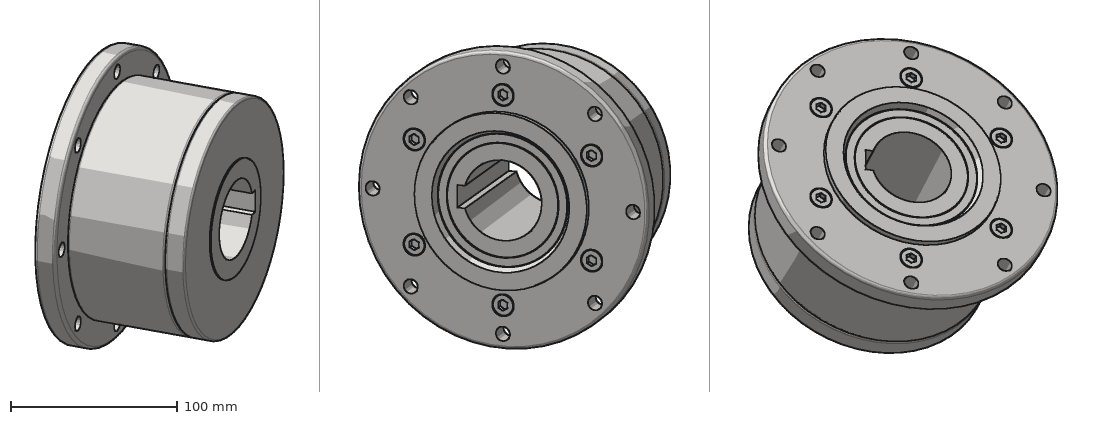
import cadquery as cq
import math

overall_length = 96.0
pilot_length = 4.0
flange_thickness = 14.0
end_boss_length = 1.0
groove_position = 82.0
flange_start = pilot_length
flange_end = flange_start + flange_thickness
body_end = overall_length - end_boss_length

flange_radius = 92.5
body_radius = 75.0
pilot_radius = 55.0
end_boss_radius = 37.4
bore_radius = 25.0

flange_fillet = 2.0
body_fillet = 1.3

recess_mouth_radius = 43.8
recess_floor_radius = 41.5
recess_depth = 3.5

clearance_ring_radii = (35.7, recess_floor_radius)
clearance = 0.28
clearance_depth = 1.0

keyway_width = 14.0
keyway_reach = 28.9

mounting_hole_count = 8
mounting_circle_radius = 83.0
mounting_hole_radius = 4.5

screw_count = 6
screw_circle_radius = 65.3
screw_head_radius = 6.5
head_gap_radius = 6.8
head_gap_depth = 1.0
socket_sides = 6
socket_width = 6.0
socket_depth = 3.7


def disc(radius, start, end):
    """Cylinder around the X axis between two axial stations."""
    return cq.Workplane("YZ").workplane(offset=start).circle(radius).extrude(end - start)


def ring(outer_radius, inner_radius, start, end):
    """Tube around the X axis between two axial stations."""
    return disc(outer_radius, start, end).cut(disc(inner_radius, start, end))


def polar_points(count, radius):
    """Points (Y, Z) evenly spaced around the X axis, the first one on +Z."""
    angles = [2 * math.pi * i / count for i in range(count)]
    return [(radius * math.sin(a), radius * math.cos(a)) for a in angles]


def turned_body():
    """Flange, two body sections that meet in a rounded groove, pilot and end boss."""
    flange = disc(flange_radius, flange_start, flange_end).edges().fillet(flange_fillet)
    housing = disc(body_radius, flange_end, groove_position).edges().fillet(body_fillet)
    cover = disc(body_radius, groove_position, body_end).edges().fillet(body_fillet)
    pilot = disc(pilot_radius, 0, flange_start)
    end_boss = disc(end_boss_radius, body_end, overall_length)
    return flange.union(housing).union(cover).union(pilot).union(end_boss)


def face_recess():
    """Conical recess with the clearance rings in its floor."""
    recess = (
        cq.Workplane("XY")
        .polyline([(0, 0), (0, recess_mouth_radius), (recess_depth, recess_floor_radius), (recess_depth, 0)])
        .close()
        .revolve(360, (0, 0, 0), (1, 0, 0))
    )
    for radius in clearance_ring_radii:
        recess = recess.union(ring(radius, radius - clearance, 0, recess_depth + clearance_depth))
    return recess


def keyed_bore():
    """Through bore with a rectangular keyway."""
    keyway = cq.Workplane("XY").box(
        overall_length, keyway_reach, keyway_width, centered=(False, False, True)
    )
    return disc(bore_radius, 0, overall_length).union(keyway)


def mounting_holes():
    """Evenly spaced through holes near the flange rim."""
    return (
        cq.Workplane("YZ")
        .workplane(offset=flange_start)
        .pushPoints(polar_points(mounting_hole_count, mounting_circle_radius))
        .circle(mounting_hole_radius)
        .extrude(flange_thickness)
    )


def screw_recesses():
    """Ring gap around each flush screw head, and the hexagon socket with corners toward +Z and -Z."""
    points = polar_points(screw_count, screw_circle_radius)
    face = cq.Workplane("YZ").workplane(offset=flange_start)
    recesses = (
        face.pushPoints(points)
        .circle(head_gap_radius)
        .circle(screw_head_radius)
        .extrude(head_gap_depth)
    )
    corner_radius = socket_width / math.sqrt(3)
    socket_outline = polar_points(socket_sides, corner_radius)
    socket = face.polyline(socket_outline).close().extrude(socket_depth)
    for y, z in points:
        recesses = recesses.union(socket.translate((0, y, z)))
    return recesses


result = (
    turned_body()
    .cut(face_recess())
    .cut(keyed_bore())
    .cut(mounting_holes())
    .cut(screw_recesses())
)